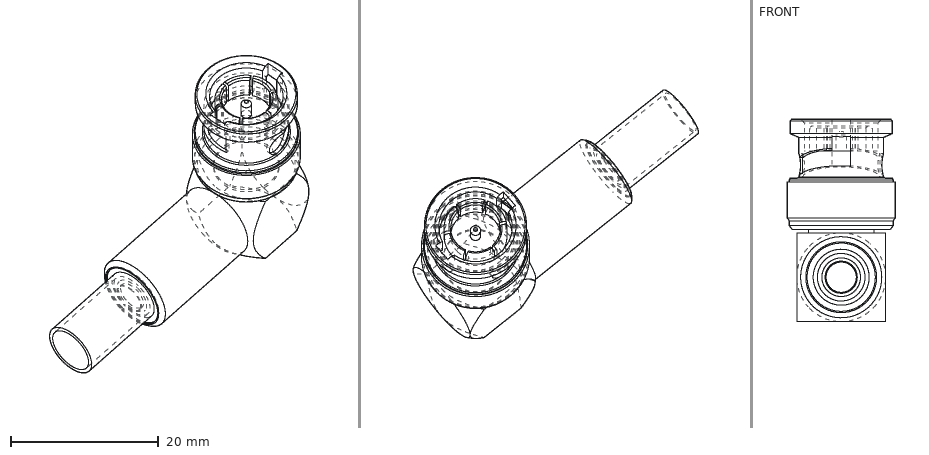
import cadquery as cq


block_side = 12.0
block_half = block_side / 2
front_cone_radius = 5.5
back_cone_radius = block_half

boot_radius = front_cone_radius
boot_end = 23.55
boot_chamfer = 0.4
boot_lip_height = 0.17
boot_lip_radius = 4.8
boot_recess_radius = 4.6
boot_recess_depth = 0.2
tube_radius = 3.8
tube_end = 36.2
tube_bore_radius = 3.2
stem_radius = 2.6
stem_tip_radius = 2.18
stem_bore_radius = 2.05
stem_height = 0.55

neck_radius = 4.45
nut_radius = 7.3
nut_rim_radius = 7.05
nut_bottom = 6.45
nut_bottom_radius = 6.6
nut_bevel_radius = 6.9
nut_bevel_top = 6.8
nut_rim_bottom = 7.0
nut_groove_top = 7.6
nut_grip_bottom = 8.0
nut_grip_top = 12.88
nut_top = 13.4
nut_edge_radial = 0.15
nut_edge_axial = 0.25
collar_radius = 5.95
collar_height = 0.17

shell_radius = 5.75
shell_bore_radius = 4.95
flange_radius = 6.9
flange_top = 21.35
flange_height = 1.95
flange_bottom = flange_top - flange_height
flange_cone_bottom = 18.9
flange_chamfer = 0.2
bore_chamfer = 0.52

core_radius = 5.2
core_top = 17.05
entry_half_width = 1.25
entry_reach = 5.95
latch_height = 15.15
latch_radius = 1.6
ramp_angle = 15.5
ramp_width = 2.3

sleeve_radius = 4.25
sleeve_bore_radius = 3.35
sleeve_top = 20.45
sleeve_round = 0.45
sleeve_inner_chamfer = 0.25
slit_count = 6
slit_width = 0.4
pin_radius = 0.7
pin_tip_radius = 0.25
pin_top = 19.65
pin_tip_height = 0.45


def turned_about_z(profile):
    """Revolve a closed (radius, z) profile about the plug axis."""
    return cq.Workplane("XZ").polyline(profile).close().revolve(360, (0, 0), (0, 1))


def turned_about_y(profile):
    """Revolve a closed (radius, y) profile about the cable axis."""
    return cq.Workplane("XY").polyline(profile).close().revolve(360, (0, 0), (0, 1))


def make_elbow():
    """Cube whose corners are turned off by 45 degree cones at both ends."""
    cube = cq.Workplane("XY").box(block_side, block_side, block_side)
    envelope = turned_about_y([
        (0, -block_half),
        (front_cone_radius, -block_half),
        (front_cone_radius + block_half, 0),
        (back_cone_radius + block_half, 0),
        (back_cone_radius, block_half),
        (0, block_half),
    ])
    return cube.intersect(envelope)


def make_cable_side():
    """Boot with a recessed end, and the hollow tube that leaves it."""
    lip_start = -boot_end + boot_lip_height
    recess_floor = -boot_end + boot_recess_depth
    return turned_about_y([
        (0, 0),
        (boot_radius, 0),
        (boot_radius, lip_start + boot_chamfer),
        (boot_radius - boot_chamfer, lip_start),
        (boot_lip_radius, -boot_end),
        (boot_recess_radius, -boot_end),
        (boot_recess_radius, recess_floor),
        (tube_radius, recess_floor),
        (tube_radius, -tube_end),
        (tube_bore_radius, -tube_end),
        (tube_bore_radius, -boot_end),
        (stem_radius, -boot_end),
        (stem_tip_radius, -boot_end - stem_height),
        (stem_bore_radius, -boot_end - stem_height),
        (stem_bore_radius, -boot_end),
        (0, -boot_end),
    ])


def make_nut():
    """Neck, coupling nut and the solid core that closes the shell from below."""
    return turned_about_z([
        (0, 0),
        (neck_radius, 0),
        (neck_radius, nut_bottom),
        (nut_bottom_radius, nut_bottom),
        (nut_bevel_radius, nut_bevel_top),
        (nut_rim_radius, nut_rim_bottom),
        (nut_rim_radius, nut_groove_top),
        (nut_radius, nut_grip_bottom),
        (nut_radius, nut_grip_top),
        (nut_rim_radius, nut_grip_top),
        (nut_rim_radius, nut_top - nut_edge_axial),
        (nut_rim_radius - nut_edge_radial, nut_top),
        (collar_radius, nut_top),
        (shell_radius, nut_top + collar_height),
        (core_radius, nut_top + collar_height),
        (core_radius, core_top),
        (0, core_top),
    ])


def make_slot():
    """Cutter for one slot: entry notch at -Y, ramp, and round latch hole at -X."""
    entry = (
        cq.Workplane("XY", origin=(0, 0, core_top))
        .center(0, -entry_reach / 2)
        .rect(2 * entry_half_width, entry_reach)
        .extrude(flange_top - core_top)
    )
    ramp_length = 2 * nut_radius
    ramp_reach = nut_radius + entry_half_width
    ramp = (
        cq.Workplane("XY")
        .box(ramp_reach, ramp_length, ramp_width, centered=(False, False, False))
        .translate((-nut_radius, -ramp_length, -latch_radius))
        .rotate((0, 0, 0), (1, 0, 0), -ramp_angle)
        .translate((0, 0, latch_height))
    )
    latch = (
        cq.Workplane("YZ", origin=(-nut_radius, 0, latch_height))
        .circle(latch_radius)
        .extrude(nut_radius)
    )
    return entry.union(ramp).union(latch)


def make_shell():
    """Thin bayonet shell with a flange on top and two opposite slots."""
    shell = turned_about_z([
        (shell_bore_radius, nut_grip_bottom),
        (shell_radius, nut_grip_bottom),
        (shell_radius, flange_cone_bottom),
        (flange_radius, flange_bottom),
        (flange_radius, flange_top - flange_chamfer),
        (flange_radius - flange_chamfer, flange_top),
        (shell_bore_radius + bore_chamfer, flange_top),
        (shell_bore_radius, flange_top - bore_chamfer),
    ])
    slot = make_slot()
    for angle in (0, 180):
        shell = shell.cut(slot.rotate((0, 0, 0), (0, 0, 1), angle))
    return shell


def make_sleeve():
    """Contact sleeve, slit into equal spring fingers."""
    sleeve = turned_about_z([
        (sleeve_bore_radius, nut_top),
        (sleeve_radius, nut_top),
        (sleeve_radius, sleeve_top),
        (sleeve_bore_radius + sleeve_inner_chamfer, sleeve_top),
        (sleeve_bore_radius, sleeve_top - sleeve_inner_chamfer),
    ])
    outer_rim = cq.selectors.RadiusNthSelector(-1)
    sleeve = sleeve.faces(">Z").edges(outer_rim).fillet(sleeve_round)
    slit = (
        cq.Workplane("XY", origin=(shell_bore_radius / 2, 0, core_top))
        .rect(shell_bore_radius, slit_width)
        .extrude(sleeve_top - core_top)
    )
    for index in range(slit_count):
        sleeve = sleeve.cut(slit.rotate((0, 0, 0), (0, 0, 1), index * 360 / slit_count))
    return sleeve


def make_pin():
    """Centre pin with a tapered tip."""
    return turned_about_z([
        (0, nut_top),
        (pin_radius, nut_top),
        (pin_radius, pin_top - pin_tip_height),
        (pin_tip_radius, pin_top),
        (0, pin_top),
    ])


result = (
    make_elbow()
    .union(make_cable_side())
    .union(make_nut())
    .union(make_shell())
    .union(make_sleeve())
    .union(make_pin())
)